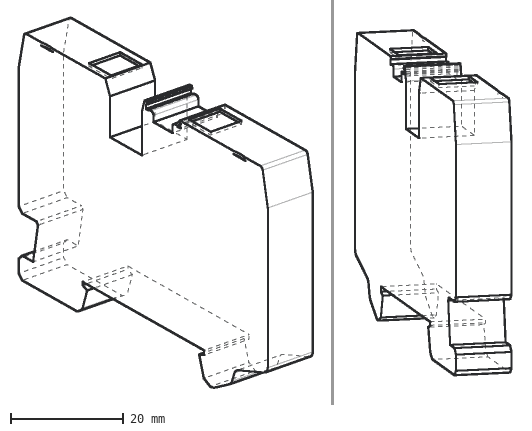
import cadquery as cq
import math

length = 71.5
thickness = 10.2
height = 49.5

left_end_top_x = 1.65
left_slope_z = 42.0
right_end_top_x = 69.9
right_slope_z = 42.0
top_corner_radius = 0.7

slot_left_x = 26.25
slot_right_x = 35.4
slot_floor_z = 38.3
slot_lead_in = 1.35
slot_lead_in_z = 46.5
lip_slope_z = 47.0

lip_left_x = 36.1
lip_right_x = 36.75
lip_nose_x = 37.0
lip_root_x = 36.55
shoulder_x = 46.25
shoulder_nose_x = 45.9
shoulder_root_x = 46.4
nose_z = 49.05
undercut_z = 48.8
groove_floor_z = 48.0
ledge_z = 48.2
left_ledge_x = 37.3
right_ledge_x = 45.6
recess_left_x = 38.7
recess_right_x = 44.2
recess_floor_z = 46.2
ledge_radius = 0.65

rail_seat_z = 6.5
rail_left_x = 18.4
rail_right_x = 53.2
side_notch_z = 13.3
left_foot_z = 4.9
edge_chamfer = 1.0
right_wall_z = 10.2

left_foot_inner_x = 4.15
side_notch_x = 5.1
side_notch_corner = (5.5, 12.7)

corner_arc_mid = (71.2, 9.4)
corner_arc_end = (70.5, 8.9)
neck_arc_start = (63.1, 6.4)
neck_arc_mid = (62.35, 6.0)
neck_arc_end = (61.9, 5.4)
heel_arc_start = (61.3, 3.6)
heel_arc_mid = (61.0, 3.1)
heel_arc_end = (60.55, 2.65)
toe_arc_start = (56.4, 0.35)
toe_arc_mid = (55.6, 0.1)
toe_arc_end = (55.0, 0)
right_hook_base = (53.1, 0.9)
right_hook_tip = (51.8, 5.15)
right_hook_root_z = 5.6

left_hook_root_z = 5.85
left_hook_tip = (19.65, 5.3)
left_toe_arc_start = (18.4, 1.3)
left_toe_arc_mid = (17.65, 0.5)
left_toe_arc_end = (16.65, 0)

pocket_length = 6.3
pocket_width = 7.0
pocket_depth = 0.65
pocket_y = -0.1
pocket_offset = 14.3

notch_chord = 3.4
notch_sagitta = 0.15
notch_height = 0.65
notch_offset = 27.6

ARC_45 = math.sqrt(0.5)


def make_body():
    """Extrude the plate outline through its full thickness."""
    ledge_arc_drop = ledge_radius * (1 - ARC_45)
    outline = (
        cq.Workplane("XZ")
        .moveTo(0, left_slope_z)
        .lineTo(left_end_top_x, height)
        .lineTo(slot_left_x - slot_lead_in, height)
        .lineTo(slot_left_x, slot_lead_in_z)
        .lineTo(slot_left_x, slot_floor_z)
        .lineTo(slot_right_x, slot_floor_z)
        .lineTo(slot_right_x, lip_slope_z)
        .lineTo(lip_left_x, height)
        .lineTo(lip_right_x, height)
        .lineTo(lip_nose_x, nose_z)
        .lineTo(lip_root_x, undercut_z)
        .lineTo(lip_root_x, groove_floor_z)
        .lineTo(left_ledge_x, groove_floor_z)
        .lineTo(left_ledge_x, ledge_z)
        .lineTo(recess_left_x - ledge_radius, ledge_z)
        .threePointArc(
            (recess_left_x - ledge_arc_drop, ledge_z - ledge_arc_drop),
            (recess_left_x, ledge_z - ledge_radius),
        )
        .lineTo(recess_left_x, recess_floor_z)
        .lineTo(recess_right_x, recess_floor_z)
        .lineTo(recess_right_x, ledge_z - ledge_radius)
        .threePointArc(
            (recess_right_x + ledge_arc_drop, ledge_z - ledge_arc_drop),
            (recess_right_x + ledge_radius, ledge_z),
        )
        .lineTo(right_ledge_x, ledge_z)
        .lineTo(right_ledge_x, groove_floor_z)
        .lineTo(shoulder_root_x, groove_floor_z)
        .lineTo(shoulder_root_x, undercut_z)
        .lineTo(shoulder_nose_x, nose_z)
        .lineTo(shoulder_x, height)
        .lineTo(right_end_top_x, height)
        .lineTo(length, right_slope_z)
        .lineTo(length, right_wall_z)
        .threePointArc(corner_arc_mid, corner_arc_end)
        .lineTo(*neck_arc_start)
        .threePointArc(neck_arc_mid, neck_arc_end)
        .lineTo(*heel_arc_start)
        .threePointArc(heel_arc_mid, heel_arc_end)
        .lineTo(*toe_arc_start)
        .threePointArc(toe_arc_mid, toe_arc_end)
        .lineTo(*right_hook_base)
        .lineTo(*right_hook_tip)
        .lineTo(rail_right_x, right_hook_root_z)
        .lineTo(rail_right_x, rail_seat_z)
        .lineTo(rail_left_x, rail_seat_z)
        .lineTo(rail_left_x, left_hook_root_z)
        .lineTo(*left_hook_tip)
        .lineTo(*left_toe_arc_start)
        .threePointArc(left_toe_arc_mid, left_toe_arc_end)
        .lineTo(edge_chamfer, 0)
        .lineTo(0, edge_chamfer)
        .lineTo(0, left_foot_z - edge_chamfer)
        .lineTo(edge_chamfer, left_foot_z)
        .lineTo(left_foot_inner_x, left_foot_z)
        .lineTo(*side_notch_corner)
        .lineTo(side_notch_x, side_notch_z)
        .lineTo(edge_chamfer, side_notch_z)
        .lineTo(0, side_notch_z + edge_chamfer)
        .close()
    )
    body = outline.extrude(thickness / 2, both=True)
    for corner_x in (left_end_top_x, right_end_top_x):
        corner = cq.selectors.NearestToPointSelector((corner_x, 0, height))
        body = body.edges("|Y").edges(corner).fillet(top_corner_radius)
    return body


def make_marker_pocket(x):
    return (
        cq.Workplane("XY", origin=(x, pocket_y, height - pocket_depth))
        .rect(pocket_length, pocket_width)
        .extrude(pocket_depth)
    )


def make_edge_notch(x):
    """Circular segment sunk into the front face, open to the top."""
    return (
        cq.Workplane("XY", origin=(x, -thickness / 2, height - notch_height))
        .moveTo(-notch_chord / 2, 0)
        .threePointArc((0, notch_sagitta), (notch_chord / 2, 0))
        .close()
        .extrude(notch_height)
    )


result = make_body()
for side in (-1, 1):
    result = result.cut(make_marker_pocket(length / 2 + side * pocket_offset))
    result = result.cut(make_edge_notch(length / 2 + side * notch_offset))